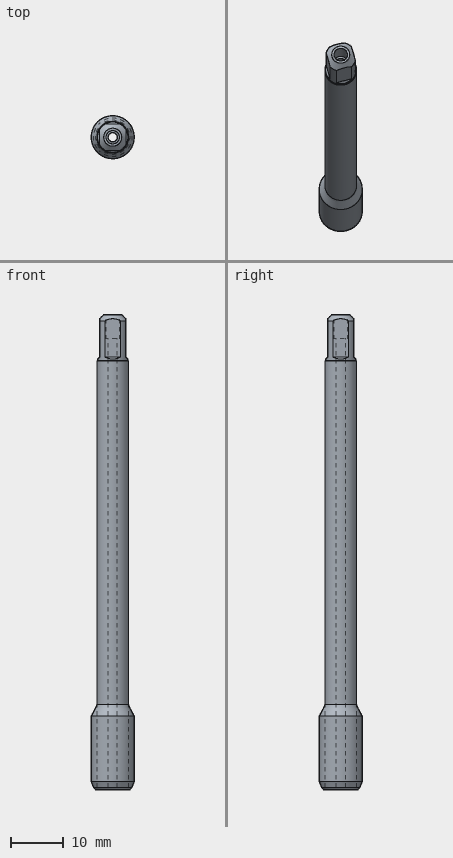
import cadquery as cq

total_length = 90.0

shaft_radius = 6.0 / 2
shaft_top = 81.2
bottom = 0.0

drive_radius = 5.8 / 2
drive_sides = 4
across_flats = 4.95
flat_bottom = 82.0
ledge_drop = 0.5
tip_radius = 3.4 / 2
tip_chamfer_height = 1.2
shoulder_height = 0.1

bore_radius = 1.7 / 2
counterbore_radius = 2.5 / 2
counterbore_depth = 4.5

sleeve_radius = 8.2 / 2
sleeve_bottom_radius = 6.5 / 2
bottom_rim_radius = 7.3 / 2
bottom_rim_height = 0.45
straight_bottom = 1.5
straight_top = 13.95
neck_radius = 6.5 / 2
neck_bottom = 15.6
neck_top = 16.1


def revolve_profile(profile):
    """Turn a closed radius-height outline on the XZ plane about the Z axis."""
    return profile.close().revolve(360, (0, 0, 0), (0, 1, 0))


def make_shaft_blank():
    profile = (
        cq.Workplane("XZ")
        .moveTo(0, bottom)
        .lineTo(shaft_radius, bottom)
        .lineTo(shaft_radius, shaft_top)
        .lineTo(drive_radius, shaft_top + shoulder_height)
        .lineTo(drive_radius, total_length - tip_chamfer_height)
        .lineTo(tip_radius, total_length)
        .lineTo(0, total_length)
    )
    return revolve_profile(profile)


def cut_drive_flats(shaft):
    """Square the top of the shaft, leaving a sloping ledge under each flat."""
    half_flats = across_flats / 2
    waste = (
        cq.Workplane("XZ")
        .moveTo(half_flats, flat_bottom)
        .lineTo(half_flats, total_length)
        .lineTo(shaft_radius, total_length)
        .lineTo(shaft_radius, flat_bottom - ledge_drop)
        .close()
        .extrude(shaft_radius, both=True)
    )
    for side in range(drive_sides):
        angle = side * 360 / drive_sides
        shaft = shaft.cut(waste.rotate((0, 0, 0), (0, 0, 1), angle))
    return shaft


def make_bore():
    counterbore_floor = total_length - counterbore_depth
    profile = (
        cq.Workplane("XZ")
        .moveTo(0, bottom)
        .lineTo(bore_radius, bottom)
        .lineTo(bore_radius, counterbore_floor)
        .lineTo(counterbore_radius, counterbore_floor)
        .lineTo(counterbore_radius, total_length)
        .lineTo(0, total_length)
    )
    return revolve_profile(profile)


def make_shaft():
    return cut_drive_flats(make_shaft_blank()).cut(make_bore())


def make_sleeve():
    profile = (
        cq.Workplane("XZ")
        .moveTo(shaft_radius, bottom)
        .lineTo(sleeve_bottom_radius, bottom)
        .lineTo(bottom_rim_radius, bottom_rim_height)
        .lineTo(sleeve_radius, straight_bottom)
        .lineTo(sleeve_radius, straight_top)
        .lineTo(neck_radius, neck_bottom)
        .lineTo(shaft_radius, neck_top)
    )
    return revolve_profile(profile)


shaft = make_shaft()
sleeve = make_sleeve()
result = cq.Compound.makeCompound([shaft.val(), sleeve.val()])